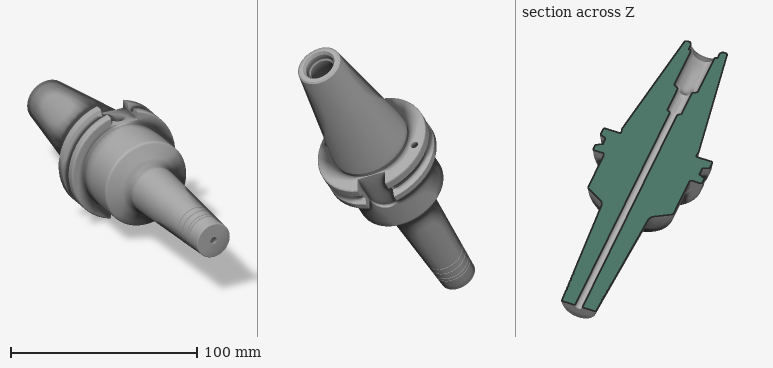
import cadquery as cq
import math

total_length = 188.2
gauge_x = 68.1
relief_x = 69.8
flange_start = 71.0
flange_end = 87.2
groove_x = 79.5
body_end = 112.0
neck_start = 118.2

gauge_radius = 22.2
relief_radius = 21.8
flange_radius = 31.6
groove_radius = 28.0
body_diameter = 49.5
body_radius = body_diameter / 2
nose_tip_radius = 10.0

taper_slope = 7 / 48
nose_slope = math.tan(math.radians(3))

small_end_chamfer = 0.8
flange_rim_fillet = 1.0
tip_chamfer = 0.4
body_root_fillet = 1.0
body_edge_fillet = 1.9
neck_fillet = 4.1

edge_margin = 0.1
cut_clearance = 1.0

groove_floor_half_width = 2.0
groove_top_half_width = 3.5

ring_positions = [168.5, 172.8, 177.3, 179.5]
ring_width = 0.5
ring_depth = 0.28

through_diameter = 4.0
step_diameter = 8.0
socket_diameter = 13.4
pilot_diameter = 16.4
mouth_diameter = 18.5
mouth_depth = 1.7
pilot_depth = 4.9
socket_depth = 30.1
step_depth = 47.0
drill_half_angle = math.radians(59)

key_width = 16.2
top_key_floor = 25.5
bottom_key_floor = 22.2
bottom_key_end = 96.0
key_floor_fillet = 0.5
dimple_diameter = 9.6

coolant_angle = 20.0
coolant_circle_radius = 27.0
axial_hole_diameter = 4.1
axial_hole_depth = 3.8
passage_circle_radius = 26.4
passage_diameter = 3.2
radial_hole_depth = 3.8


def nose_radius(x):
    """Radius of the tapered nose at position x."""
    return nose_tip_radius + (total_length - x) * nose_slope


def revolve_about_x(points):
    """Turn an (x, radius) outline about the X axis."""
    return cq.Workplane("XY").polyline(points).close().revolve(360, (0, 0, 0), (1, 0, 0))


def circle_selector(x, radius):
    """Pick the turned edge that passes through (x, radius)."""
    def box(reach):
        return cq.selectors.BoxSelector(
            (x - edge_margin, -reach, -reach), (x + edge_margin, reach, reach), boundingbox=True
        )
    return box(radius + edge_margin) - box(radius - edge_margin)


def turned_body():
    small_radius = gauge_radius - gauge_x * taper_slope
    outline = [
        (0, 0),
        (0, small_radius - small_end_chamfer),
        (small_end_chamfer, small_radius + small_end_chamfer * taper_slope),
        (gauge_x, gauge_radius),
        (relief_x, relief_radius),
        (flange_start, relief_radius),
        (flange_start, flange_radius),
        (groove_x - groove_top_half_width, flange_radius),
        (groove_x - groove_floor_half_width, groove_radius),
        (groove_x + groove_floor_half_width, groove_radius),
        (groove_x + groove_top_half_width, flange_radius),
        (flange_end, flange_radius),
        (flange_end, body_radius),
        (body_end, body_radius),
        (neck_start, nose_radius(neck_start)),
        (total_length - tip_chamfer, nose_radius(total_length - tip_chamfer)),
        (total_length, nose_tip_radius - tip_chamfer),
        (total_length, 0),
    ]
    solid = revolve_about_x(outline)
    blends = [
        ((flange_start, flange_radius), flange_rim_fillet),
        ((flange_end, flange_radius), flange_rim_fillet),
        ((flange_end, body_radius), body_root_fillet),
        ((body_end, body_radius), body_edge_fillet),
        ((neck_start, nose_radius(neck_start)), neck_fillet),
    ]
    for (x, radius), fillet in blends:
        solid = solid.edges(circle_selector(x, radius)).fillet(fillet)
    return solid


def marking_ring(x):
    outer = nose_radius(x) + cut_clearance
    inner = nose_radius(x) - ring_depth
    half = ring_width / 2
    left = x - half
    right = x + half
    return revolve_about_x([(left, inner), (right, inner), (right, outer), (left, outer)])


def axial_bore():
    socket_cone = (socket_diameter - step_diameter) / 2 / math.tan(drill_half_angle)
    step_cone = (step_diameter - through_diameter) / 2 / math.tan(drill_half_angle)
    return revolve_about_x([
        (0, 0),
        (0, mouth_diameter / 2),
        (mouth_depth, pilot_diameter / 2),
        (pilot_depth, pilot_diameter / 2),
        (pilot_depth, socket_diameter / 2),
        (socket_depth, socket_diameter / 2),
        (socket_depth + socket_cone, step_diameter / 2),
        (step_depth, step_diameter / 2),
        (step_depth + step_cone, through_diameter / 2),
        (total_length, through_diameter / 2),
        (total_length, 0),
    ])


def top_keyway():
    length = flange_end + body_root_fillet - flange_start
    height = flange_radius - top_key_floor
    slot = cq.Workplane("XY").box(length, key_width, height, centered=(False, True, False))
    slot = slot.edges("|X and <Z").fillet(key_floor_fillet)
    slot = slot.translate((flange_start, 0, top_key_floor))
    dimple_depth = dimple_diameter / 2 / math.tan(drill_half_angle)
    dimple = cq.Solid.makeCone(
        dimple_diameter / 2, 0, dimple_depth, cq.Vector(groove_x, 0, top_key_floor), cq.Vector(0, 0, -1)
    )
    return slot.union(cq.Workplane(dimple))


def bottom_keyway():
    """Deeper keyway that runs out into the body with a full round end."""
    half = key_width / 2
    return (
        cq.Workplane("XY", origin=(0, 0, -flange_radius))
        .moveTo(flange_start, -half)
        .lineTo(bottom_key_end - half, -half)
        .threePointArc((bottom_key_end, 0), (bottom_key_end - half, half))
        .lineTo(flange_start, half)
        .close()
        .extrude(flange_radius - bottom_key_floor)
    )


def cylinder(diameter, length, start, direction):
    return cq.Workplane(cq.Solid.makeCylinder(diameter / 2, length, cq.Vector(*start), cq.Vector(*direction)))


def coolant_holes():
    """Hole in the flange face, led by a narrower passage to a radial hole in the groove."""
    along_x = (1, 0, 0)
    inward = (0, -1, 0)
    axial = cylinder(axial_hole_diameter, axial_hole_depth, (flange_start, coolant_circle_radius, 0), along_x)
    passage = cylinder(
        passage_diameter, groove_x - flange_start, (flange_start, passage_circle_radius, 0), along_x
    )
    radial = cylinder(
        passage_diameter, radial_hole_depth + cut_clearance,
        (groove_x, groove_radius + cut_clearance, 0), inward
    )
    return axial.union(passage).union(radial)


result = turned_body().cut(axial_bore()).cut(top_keyway()).cut(bottom_keyway())
for x in ring_positions:
    result = result.cut(marking_ring(x))
for angle in (coolant_angle, coolant_angle + 180):
    result = result.cut(coolant_holes().rotate((0, 0, 0), (1, 0, 0), angle))